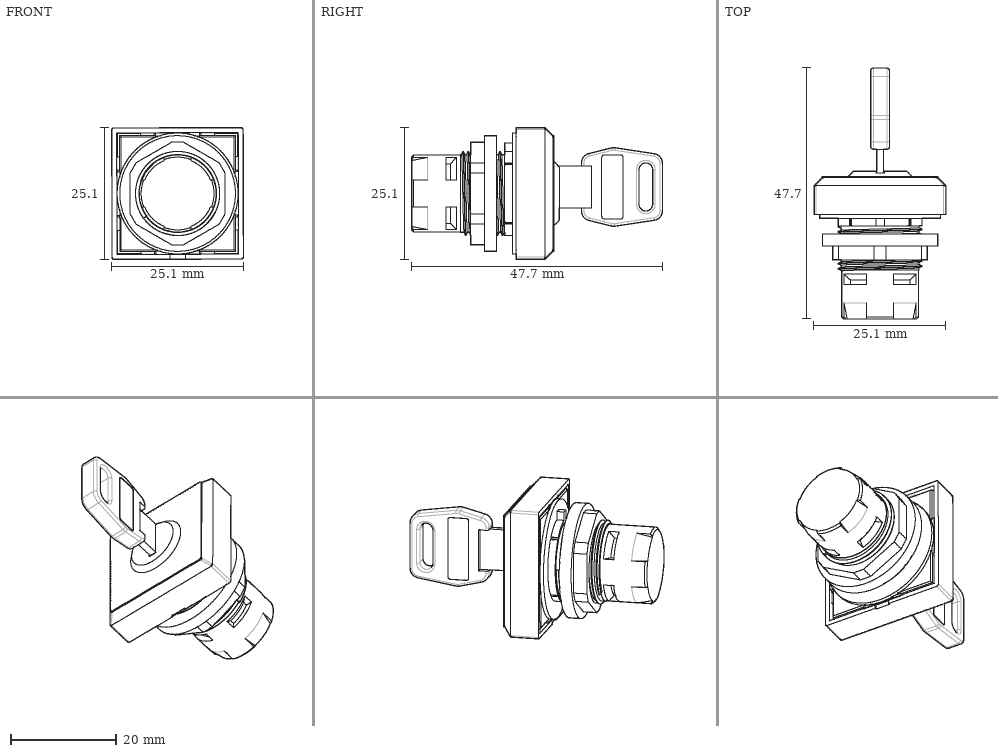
import cadquery as cq


TOTAL_LENGTH = 47.69
FLANGE_THICKNESS = 0.72
BEZEL_BODY_DEPTH = 5.5
BEZEL_TAPER = 1.5
BEZEL_LIP = 0.25
COLLAR_HEIGHT = 1.0
KEY_TIP_Y = 28.56

BEZEL_BACK_Y = FLANGE_THICKNESS
BEZEL_FRONT_Y = BEZEL_BACK_Y + BEZEL_BODY_DEPTH + BEZEL_TAPER + BEZEL_LIP
COLLAR_FRONT_Y = BEZEL_FRONT_Y + COLLAR_HEIGHT
BARREL_END_Y = KEY_TIP_Y - TOTAL_LENGTH

BEZEL_SIDE = 25.0
BEZEL_FRONT_SIDE = BEZEL_SIDE - 2 * BEZEL_TAPER
BEZEL_CORNER_RADIUS = 0.4
BEZEL_TWIST = -0.142
GROOVE_OUTER_SIDE = 23.1
GROOVE_INNER_SIDE = 22.0
GROOVE_DEPTH = 2.0
INSERT_CHAMFER = 0.27
GROOVE_DRAFT = 4.0
CLIP_BRIDGE_WIDTH = 8.3
CLIP_BRIDGE_RECESS = 0.2
CLIP_INNER_EDGE = 4.45
CLIP_OUTER_EDGE = 7.0
CLIP_RECESS = 0.5
PRY_NOTCH_WIDTH = 3.0
PRY_NOTCH_DEPTH = 0.3

COLLAR_BASE_DIAMETER = 12.15
COLLAR_FRONT_DIAMETER = 10.1
KEYWAY_WIDTH = 1.6
KEYWAY_HEIGHT = 8.6
KEYWAY_DEPTH = 0.35

FLANGE_DIAMETER = 23.0
NECK_DIAMETER = 16.0
NECK_END_Y = -1.43
NECK_GROOVE_WIDTH = 0.5
NECK_GROOVE_DEPTH = 0.25
TAB_WIDTH = 1.6
TAB_TOP_Z = 9.6
BARREL_DIAMETER = 14.65
BARREL_CHAMFER = 0.4

THREAD_ROOT_DIAMETER = 14.8
THREAD_CREST_DIAMETER = 16.0
THREAD_PITCH = 1.0
THREAD_BASE_WIDTH = 0.8
THREAD_CREST_WIDTH = 0.1
THREAD_OVERLAP = 0.2
THREAD_START_Y = -1.59
THREAD_START_ANGLE = 180
THREAD_LENGTH = 8.1
THREAD_END_Y = -9.85

WASHER_DIAMETER = 22.0
WASHER_FRONT_Y = -2.95
WASHER_THICKNESS = 2.33
NUT_THICKNESS = 2.62
NUT_ACROSS_FLATS = 18.0
NUT_ACROSS_CORNERS = 19.5

POCKET_EDGE = 2.55
WINDOW_START_Y = -10.6
WINDOW_END_Y = -12.6
WINDOW_FLOOR_RADIUS = 6.2
END_NOTCH_START_Y = -16.1
END_NOTCH_FLOOR_RADIUS = 6.75

KEY_CENTER_Z = 1.24
KEY_THICKNESS = 3.6
KEY_LENGTH = 15.45
KEY_PEAK_FROM_TIP = 9.4
KEY_PEAK_HALF_HEIGHT = 7.53
KEY_TIP_HALF_HEIGHT = 6.1
KEY_ROOT_HALF_HEIGHT = 6.0
KEY_CORNER_RADIUS = 1.9
KEY_PEAK_RADIUS = 2.0
KEY_EDGE_RADIUS = 0.5
RING_SLOT_FROM_TIP = 3.19
RING_SLOT_WIDTH = 2.55
RING_SLOT_LENGTH = 9.1
GRIP_FROM_TIP = 9.53
GRIP_WIDTH = 4.07
GRIP_HEIGHT = 12.18
GRIP_DEPTH = 0.1
GRIP_CORNER_RADIUS = 0.5
BLADE_HEIGHT = 8.06
BLADE_THICKNESS = 1.36
BLADE_START_FROM_TIP = 13.53
BLADE_EMBED = 0.6


def disc(diameter, front_y, back_y):
    """Cylinder about the Y axis from front_y down to back_y."""
    return cq.Workplane("XZ", origin=(0, front_y, 0)).circle(diameter / 2).extrude(front_y - back_y)


def square_block(side, front_y, back_y):
    """Square block centred on the Y axis from front_y down to back_y."""
    return cq.Workplane("XZ", origin=(0, front_y, 0)).rect(side, side).extrude(front_y - back_y)


def box(x_range, y_range, z_range):
    """Axis-aligned box from three (low, high) ranges."""
    size = [high - low for low, high in (x_range, y_range, z_range)]
    return cq.Workplane("XY").box(*size, centered=False).translate((x_range[0], y_range[0], z_range[0]))


def about_y(shape, angle):
    """Copy of a shape turned about the Y axis by an angle in degrees."""
    return shape.rotate((0, 0, 0), (0, 1, 0), angle)


def bezel_blank():
    """Square body with a 45-degree front taper, a thin lip and rounded corners."""
    taper_back_y = BEZEL_BACK_Y + BEZEL_BODY_DEPTH
    half = BEZEL_SIDE / 2
    front_half = BEZEL_FRONT_SIDE / 2
    profile = [
        (-half, BEZEL_BACK_Y),
        (half, BEZEL_BACK_Y),
        (half, taper_back_y),
        (front_half, taper_back_y + BEZEL_TAPER),
        (front_half, BEZEL_FRONT_Y),
        (-front_half, BEZEL_FRONT_Y),
        (-front_half, taper_back_y + BEZEL_TAPER),
        (-half, taper_back_y),
    ]
    blank = cq.Workplane("XY").polyline(profile).close().extrude(half, both=True)
    blank = blank.intersect(about_y(blank, 90))
    return blank.edges("|Y or (not(#X or #Y or #Z))").fillet(BEZEL_CORNER_RADIUS)


def bezel():
    """Bezel with the grooved back, snap-clip recesses and pry notch."""
    groove_floor_y = BEZEL_BACK_Y + GROOVE_DEPTH
    outer_half = GROOVE_OUTER_SIDE / 2
    opening = cq.Workplane("XZ", origin=(0, BEZEL_BACK_Y, 0)).rect(GROOVE_OUTER_SIDE, GROOVE_OUTER_SIDE)
    groove = opening.extrude(-GROOVE_DEPTH, taper=GROOVE_DRAFT)
    insert = square_block(GROOVE_INNER_SIDE, groove_floor_y, BEZEL_BACK_Y)
    groove = groove.cut(insert.faces("<Y").chamfer(INSERT_CHAMFER))

    bridge_half = CLIP_BRIDGE_WIDTH / 2
    bridge_y = BEZEL_BACK_Y + CLIP_BRIDGE_RECESS
    wedge_profile = [
        (groove_floor_y, outer_half),
        (groove_floor_y, GROOVE_INNER_SIDE / 2),
        (BEZEL_BACK_Y + CLIP_RECESS, outer_half),
    ]
    for angle in range(0, 360, 90):
        bridge = box((-bridge_half, bridge_half), (bridge_y, groove_floor_y), (0, outer_half))
        groove = groove.cut(about_y(bridge, angle))
        for start_x in (CLIP_INNER_EDGE, -CLIP_OUTER_EDGE):
            wedge = cq.Workplane("YZ", origin=(start_x, 0, 0)).polyline(wedge_profile).close()
            wedge = wedge.extrude(CLIP_OUTER_EDGE - CLIP_INNER_EDGE)
            groove = groove.cut(about_y(wedge, angle))

    notch_half = PRY_NOTCH_WIDTH / 2
    notch = box(
        (-notch_half, notch_half),
        (BEZEL_BACK_Y, BEZEL_BACK_Y + PRY_NOTCH_DEPTH),
        (-BEZEL_SIDE, -outer_half),
    )
    return about_y(bezel_blank().cut(groove).cut(notch), BEZEL_TWIST)


def lock_collar():
    """Conical collar with a shallow keyway that breaks out through its upper edge."""
    profile = [
        (0, BEZEL_FRONT_Y),
        (COLLAR_BASE_DIAMETER / 2, BEZEL_FRONT_Y),
        (COLLAR_FRONT_DIAMETER / 2, COLLAR_FRONT_Y),
        (0, COLLAR_FRONT_Y),
    ]
    collar = cq.Workplane("XY").polyline(profile).close().revolve(360, (0, 0, 0), (0, 1, 0))
    keyway = box(
        (-KEYWAY_WIDTH / 2, KEYWAY_WIDTH / 2),
        (COLLAR_FRONT_Y - KEYWAY_DEPTH, COLLAR_FRONT_Y),
        (KEY_CENTER_Z - KEYWAY_HEIGHT / 2, KEY_CENTER_Z + KEYWAY_HEIGHT / 2),
    )
    return collar.cut(keyway)


def neck():
    """Flange and neck with an anti-rotation tab and four narrow axial grooves."""
    radius = NECK_DIAMETER / 2
    body = disc(NECK_DIAMETER, 0, NECK_END_Y)
    groove_half = NECK_GROOVE_WIDTH / 2
    groove = box((-groove_half, groove_half), (NECK_END_Y, 0), (radius - NECK_GROOVE_DEPTH, NECK_DIAMETER))
    for angle in range(45, 360, 90):
        body = body.cut(about_y(groove, angle))
    tab = box((-TAB_WIDTH / 2, TAB_WIDTH / 2), (NECK_END_Y, 0), (0, TAB_TOP_Z))
    return body.union(tab).union(disc(FLANGE_DIAMETER, FLANGE_THICKNESS, 0))


def corner_pocket(start_y, end_y, floor_start_radius, floor_end_radius, slope_end_y):
    """Square-edged pocket between two walls, outside a floor that slopes and then runs straight."""
    reach = BARREL_DIAMETER
    pocket = box((POCKET_EDGE, reach), (end_y, start_y), (POCKET_EDGE, reach))
    floor_profile = [
        (0, start_y),
        (floor_start_radius, start_y),
        (floor_end_radius, slope_end_y),
    ]
    if slope_end_y > end_y:
        floor_profile.append((floor_end_radius, end_y))
    floor_profile.append((0, end_y))
    core = cq.Workplane("XY").polyline(floor_profile).close().revolve(360, (0, 0, 0), (0, 1, 0))
    return pocket.cut(core)


def barrel():
    """Plain rear barrel with four windows and four tapered end notches."""
    radius = BARREL_DIAMETER / 2
    body = disc(BARREL_DIAMETER, THREAD_END_Y, BARREL_END_Y).faces("<Y").chamfer(BARREL_CHAMFER)
    window_slope_end_y = WINDOW_START_Y - (radius - WINDOW_FLOOR_RADIUS)
    window = corner_pocket(
        WINDOW_START_Y, WINDOW_END_Y, radius, WINDOW_FLOOR_RADIUS, window_slope_end_y
    )
    end_notch = corner_pocket(
        END_NOTCH_START_Y, BARREL_END_Y, radius, END_NOTCH_FLOOR_RADIUS, BARREL_END_Y
    )
    for angle in range(0, 360, 90):
        body = body.cut(about_y(window, angle)).cut(about_y(end_notch, angle))
    return body


def threaded_shank():
    """Thread core with a right-handed helical ridge."""
    core = disc(THREAD_ROOT_DIAMETER, NECK_END_Y, THREAD_END_Y)
    root_radius = THREAD_ROOT_DIAMETER / 2 - THREAD_OVERLAP
    crest_radius = THREAD_CREST_DIAMETER / 2
    helix = cq.Wire.makeHelix(THREAD_PITCH, THREAD_LENGTH, root_radius)
    ridge_section = [
        (root_radius, -THREAD_BASE_WIDTH / 2),
        (crest_radius, -THREAD_CREST_WIDTH / 2),
        (crest_radius, THREAD_CREST_WIDTH / 2),
        (root_radius, THREAD_BASE_WIDTH / 2),
    ]
    ridge = cq.Workplane("XZ").polyline(ridge_section).close().sweep(helix, isFrenet=True)
    ridge = ridge.rotate((0, 0, 0), (1, 0, 0), 90).translate((0, THREAD_START_Y, 0))
    return core.union(about_y(ridge, THREAD_START_ANGLE))


def washer_and_nut():
    """Round washer followed by a hexagon nut with flattened corners."""
    nut_front_y = WASHER_FRONT_Y - WASHER_THICKNESS
    washer = disc(WASHER_DIAMETER, WASHER_FRONT_Y, nut_front_y)
    plane = cq.Workplane("XZ", origin=(0, nut_front_y, 0))
    nut = plane.polygon(6, NUT_ACROSS_FLATS, circumscribed=True).extrude(NUT_THICKNESS)
    corner_trim = plane.polygon(6, NUT_ACROSS_CORNERS, circumscribed=True).extrude(NUT_THICKNESS)
    return washer.union(nut.intersect(about_y(corner_trim, 30)))


def key_bow():
    """Key bow: tapered outline with rounded edges, ring slot, grip recesses and blade pocket."""
    half_thickness = KEY_THICKNESS / 2
    root_y = KEY_TIP_Y - KEY_LENGTH
    peak_y = KEY_TIP_Y - KEY_PEAK_FROM_TIP
    outline = [
        (KEY_TIP_Y, KEY_TIP_HALF_HEIGHT),
        (peak_y, KEY_PEAK_HALF_HEIGHT),
        (root_y, KEY_ROOT_HALF_HEIGHT),
        (root_y, -KEY_ROOT_HALF_HEIGHT),
        (peak_y, -KEY_PEAK_HALF_HEIGHT),
        (KEY_TIP_Y, -KEY_TIP_HALF_HEIGHT),
    ]
    side = cq.Workplane("YZ")
    bow = side.polyline(outline).close().extrude(half_thickness, both=True)
    bow = bow.edges("|X and (<Y or >Y)").fillet(KEY_CORNER_RADIUS)
    bow = bow.edges("|X and (<Z or >Z)").fillet(KEY_PEAK_RADIUS)
    slot = side.center(KEY_TIP_Y - RING_SLOT_FROM_TIP, 0).slot2D(RING_SLOT_LENGTH, RING_SLOT_WIDTH, 90)
    bow = bow.cut(slot.extrude(half_thickness, both=True))
    bow = bow.faces("<X or >X").edges().fillet(KEY_EDGE_RADIUS)

    grip_y = KEY_TIP_Y - GRIP_FROM_TIP
    grip = cq.Workplane("YZ").center(grip_y, 0).rect(GRIP_WIDTH, GRIP_HEIGHT)
    grip = grip.extrude(GRIP_DEPTH).edges("|X").fillet(GRIP_CORNER_RADIUS)
    for face_x in (-half_thickness, half_thickness - GRIP_DEPTH):
        bow = bow.cut(grip.translate((face_x, 0, 0)))

    blade_pocket = box(
        (-half_thickness, half_thickness),
        (root_y, KEY_TIP_Y - BLADE_START_FROM_TIP),
        (-BLADE_HEIGHT / 2, BLADE_HEIGHT / 2),
    )
    return bow.cut(blade_pocket)


def key():
    """Key bow and flat blade, offset upward from the main axis."""
    blade = box(
        (-BLADE_THICKNESS / 2, BLADE_THICKNESS / 2),
        (COLLAR_FRONT_Y - BLADE_EMBED, KEY_TIP_Y - BLADE_START_FROM_TIP),
        (-BLADE_HEIGHT / 2, BLADE_HEIGHT / 2),
    )
    return key_bow().union(blade).translate((0, 0, KEY_CENTER_Z))


head = bezel().union(lock_collar()).union(key()).union(neck())
shank = threaded_shank().union(washer_and_nut()).union(barrel())
result = head.union(shank)